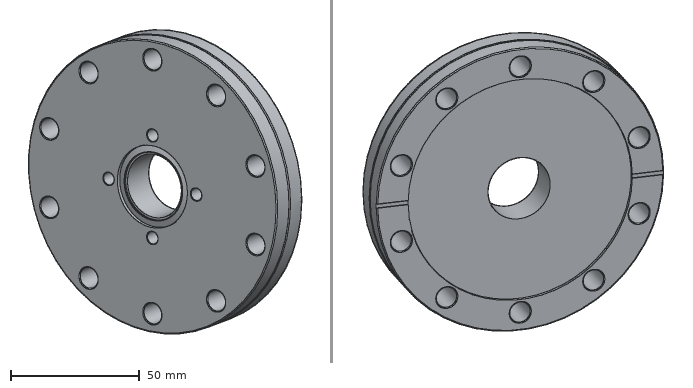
import cadquery as cq
import math

flange_diameter = 117.5
flange_thickness = 17.5
rim_chamfer = 0.5
flange_radius = flange_diameter / 2
front_y = -flange_thickness / 2
back_y = flange_thickness / 2

rim_groove_width = 1.0
rim_groove_depth = 0.2

bore_diameter = 25.4
recess_diameter = 33.0
recess_depth = 1.6
knife_diameter = 27.6
knife_height = 0.9
knife_tip_width = 0.2
ledge_depth = 1.4

back_recess_diameter = 91.6
back_recess_depth = 1.4

leak_groove_width = 1.6
leak_groove_depth = 0.5

bolt_hole_count = 10
bolt_hole_diameter = 8.3
bolt_hole_chamfer = 0.4
bolt_circle_diameter = 102.2

blind_hole_count = 4
blind_hole_diameter = 4.9
blind_hole_chamfer = 0.2
blind_hole_depth = 10.0
blind_circle_diameter = 41.2
drill_point_angle = 118.0
drill_tip_diameter = 0.4


def revolve_about_y(points):
    """Solid of revolution about Y from (radius, y) points."""
    return cq.Workplane("XY").polyline(points).close().revolve(360, (0, 0, 0), (0, 1, 0))


def circle_positions(count, diameter):
    """Evenly spaced (x, z) positions, the first one on +Z."""
    angles = [math.radians(90 + 360 * i / count) for i in range(count)]
    return [(diameter / 2 * math.cos(a), diameter / 2 * math.sin(a)) for a in angles]


def make_flange():
    """Disc with bore, chamfered rim, knife-edge recess in front and plain recess behind."""
    bore_radius = bore_diameter / 2
    ledge_y = front_y + ledge_depth
    recess_radius = recess_diameter / 2
    recess_floor_y = front_y + recess_depth
    knife_radius = knife_diameter / 2
    knife_inner_radius = knife_radius - knife_tip_width
    knife_y = recess_floor_y - knife_height
    back_recess_radius = back_recess_diameter / 2
    back_floor_y = back_y - back_recess_depth
    return revolve_about_y([
        (bore_radius, ledge_y),
        (knife_inner_radius, ledge_y),
        (knife_inner_radius, knife_y),
        (knife_radius, knife_y),
        (recess_radius, recess_floor_y),
        (recess_radius, front_y),
        (flange_radius - rim_chamfer, front_y),
        (flange_radius, front_y + rim_chamfer),
        (flange_radius, back_y - rim_chamfer),
        (flange_radius - rim_chamfer, back_y),
        (back_recess_radius, back_y),
        (back_recess_radius, back_floor_y),
        (bore_radius, back_floor_y),
    ])


def rim_groove_cutter():
    half_width = rim_groove_width / 2
    profile = (
        cq.Workplane("XY")
        .moveTo(flange_radius, -half_width)
        .threePointArc((flange_radius - rim_groove_depth, 0), (flange_radius, half_width))
        .close()
    )
    return profile.revolve(360, (0, 0, 0), (0, 1, 0))


def leak_groove_cutter():
    """Bar centred on the back face, so that half its thickness cuts into the flange."""
    bar = cq.Workplane("XY").box(flange_diameter, 2 * leak_groove_depth, leak_groove_width)
    return bar.translate((0, back_y, 0))


def bolt_hole_cutter():
    radius = bolt_hole_diameter / 2
    mouth_radius = radius + bolt_hole_chamfer
    return revolve_about_y([
        (0, front_y),
        (mouth_radius, front_y),
        (radius, front_y + bolt_hole_chamfer),
        (radius, back_y - bolt_hole_chamfer),
        (mouth_radius, back_y),
        (0, back_y),
    ])


def blind_hole_cutter():
    radius = blind_hole_diameter / 2
    tip_radius = drill_tip_diameter / 2
    bottom_y = front_y + blind_hole_depth
    point_length = (radius - tip_radius) / math.tan(math.radians(drill_point_angle / 2))
    tip_y = bottom_y + point_length
    return revolve_about_y([
        (0, front_y),
        (radius + blind_hole_chamfer, front_y),
        (radius, front_y + blind_hole_chamfer),
        (radius, bottom_y),
        (tip_radius, tip_y),
        (0, tip_y),
    ])


result = make_flange()
result = result.cut(rim_groove_cutter())
result = result.cut(leak_groove_cutter())

for x, z in circle_positions(bolt_hole_count, bolt_circle_diameter):
    result = result.cut(bolt_hole_cutter().translate((x, 0, z)))

for x, z in circle_positions(blind_hole_count, blind_circle_diameter):
    result = result.cut(blind_hole_cutter().translate((x, 0, z)))